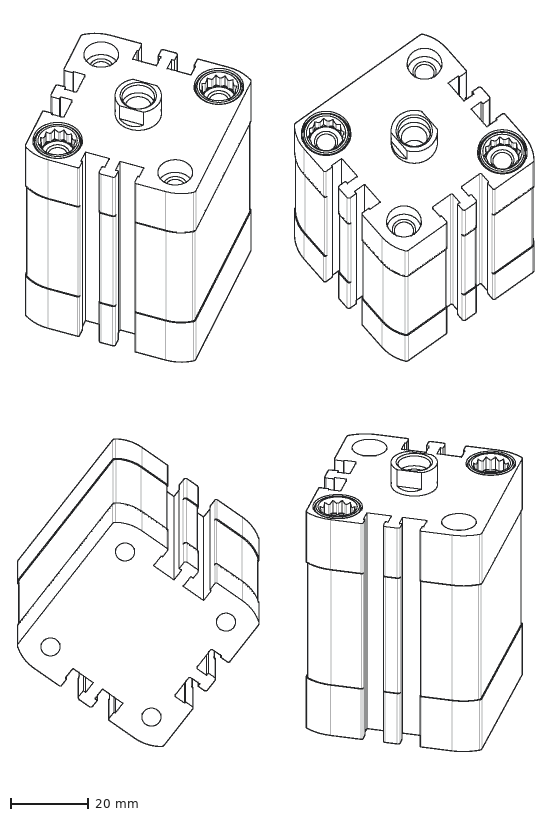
import cadquery as cq
import math


HEXAGON_SIDES = 6

width = 47.0
total_height = 70.6
rod_exposed = 6.7
housing_height = total_height - rod_exposed
cap_height = 14.9
tube_inset = 0.3
half_width = width / 2

bolt_offset = 16.25
corner_radius = 11.8
corner_blend = 1.0

slot_inner = 2.25
slot_outer = 7.6
slot_undercut_inner = 1.5
slot_undercut_outer = 8.05
slot_lip = 2.6
slot_depth = 5.9
slot_edge_radius = 0.4
rib_edge_radius = 0.65
side_slot_floor_radius = 0.4

bolt_hole_diameter = 4.95
bolt_hole_chamfer_diameter = 6.0
bolt_counterbore_diameter = 9.0
bolt_counterbore_depth = 4.8

screw_seat_diameter = 12.8
screw_diameter = 12.0
screw_groove_depth = 1.4
screw_chamfer = 0.35
socket_cone_diameter = 10.2
socket_diameter = 8.55
socket_point_diameter = 9.4
socket_hexagons = 2
socket_point_depth = 4.4
socket_cone_slope = 60.0

rod_diameter = 12.0
rod_embedded = cap_height
flat_width = 10.0
flat_height = 4.9
flat_floor_slope = 30.0
rod_mouth_diameter = 9.4
rod_counterbore_diameter = 8.4
rod_counterbore_depth = 3.4
rod_bore_diameter = 6.65
rod_bore_depth = 12.0
bore_step_slope = 30.0


def outline(inset):
    """Square with four large corner arcs, each blended into a side face."""
    half = half_width - inset
    radius = corner_radius - inset
    arc_y = half_width - corner_radius
    blend_x = half - corner_blend
    blend_y = arc_y + math.sqrt((radius - corner_blend) ** 2 - (blend_x - bolt_offset) ** 2)
    reach = radius / (radius - corner_blend)
    meet_x = bolt_offset + (blend_x - bolt_offset) * reach
    meet_y = arc_y + (blend_y - arc_y) * reach
    return (
        cq.Workplane("XY")
        .moveTo(0, half)
        .lineTo(bolt_offset, half)
        .radiusArc((meet_x, meet_y), radius)
        .radiusArc((half, blend_y), corner_blend)
        .lineTo(half, 0)
        .mirrorX()
        .mirrorY()
    )


def slot_cutter(face, height, floor_radius):
    """T-slot to the right of the middle of the +Y face at y = face."""
    edge = slot_edge_radius
    rib_edge = rib_edge_radius
    cutter = (
        cq.Workplane("XY")
        .moveTo(slot_inner - rib_edge, face)
        .radiusArc((slot_inner, face - rib_edge), rib_edge)
        .lineTo(slot_inner, half_width - slot_lip)
        .lineTo(slot_undercut_inner, half_width - slot_lip)
        .lineTo(slot_undercut_inner, half_width - slot_depth)
        .lineTo(slot_undercut_outer, half_width - slot_depth)
        .lineTo(slot_undercut_outer, half_width - slot_lip)
        .lineTo(slot_outer, half_width - slot_lip)
        .lineTo(slot_outer, face - edge)
        .radiusArc((slot_outer + edge, face), edge)
        .close()
        .extrude(height)
    )
    if floor_radius > 0:
        cutter = cutter.faces("<Y").edges("|Z").fillet(floor_radius)
    return cutter


def housing_section(inset, bottom, height):
    """One length of the housing, with slot pairs at the front, back and left."""
    section = outline(inset).extrude(height)
    for turn, floor_radius in ((0, 0), (180, 0), (90, side_slot_floor_radius)):
        slot = slot_cutter(half_width - inset, height, floor_radius)
        pair = slot.union(slot.mirror("YZ"))
        section = section.cut(pair.rotate((0, 0, 0), (0, 0, 1), turn))
    return section.translate((0, 0, bottom))


def turned(points):
    """Solid turned about the vertical axis from (radius, z) points."""
    return cq.Workplane("XZ").polyline(points).close().revolve(360, (0, 0, 0), (0, 1, 0))


def bolt_hole():
    """Through hole below the counterbore, chamfered at the counterbore floor."""
    floor = housing_height - bolt_counterbore_depth
    radius = bolt_hole_diameter / 2
    chamfer_radius = bolt_hole_chamfer_diameter / 2
    return turned([
        (0, 0),
        (radius, 0),
        (radius, floor - (chamfer_radius - radius)),
        (chamfer_radius, floor),
        (0, floor),
    ])


def counterbore():
    floor = housing_height - bolt_counterbore_depth
    return (
        cq.Workplane("XY", origin=(0, 0, floor))
        .circle(bolt_counterbore_diameter / 2)
        .extrude(bolt_counterbore_depth)
    )


def screw_cutter():
    """Everything cut from a screwed corner: groove around the screw, and splined socket."""
    floor = housing_height - bolt_counterbore_depth
    screw_top = housing_height
    screw_radius = screw_diameter / 2
    groove_floor = screw_top - screw_groove_depth
    seat_radius = screw_seat_diameter / 2
    cone_radius = socket_cone_diameter / 2
    socket_radius = socket_diameter / 2

    groove = turned([
        (screw_radius - screw_chamfer, screw_top),
        (screw_radius, screw_top - screw_chamfer),
        (screw_radius, groove_floor),
        (seat_radius, groove_floor),
        (seat_radius, screw_top),
    ])
    cone_depth = (cone_radius - socket_radius) * math.tan(math.radians(socket_cone_slope))
    cone = turned([
        (0, screw_top),
        (cone_radius, screw_top),
        (socket_radius, screw_top - cone_depth),
        (0, screw_top - cone_depth),
    ])
    socket = cq.Workplane("XY", origin=(0, 0, floor)).circle(socket_radius).extrude(screw_top - floor)
    hexagon = (
        cq.Workplane("XY", origin=(0, 0, screw_top))
        .polygon(HEXAGON_SIDES, socket_point_diameter)
        .extrude(-socket_point_depth)
    )
    turn = 360 / (HEXAGON_SIDES * socket_hexagons)
    for index in range(socket_hexagons):
        socket = socket.union(hexagon.rotate((0, 0, 0), (0, 0, 1), index * turn))
    return groove.union(cone).union(socket)


def make_housing():
    tube_height = housing_height - 2 * cap_height
    housing = (
        housing_section(0, 0, cap_height)
        .union(housing_section(tube_inset, cap_height, tube_height))
        .union(housing_section(0, cap_height + tube_height, cap_height))
    )
    for x_side, y_side, corner_cutter in (
        (-1, 1, counterbore()),
        (1, -1, counterbore()),
        (1, 1, screw_cutter()),
        (-1, -1, screw_cutter()),
    ):
        place = (x_side * bolt_offset, y_side * bolt_offset, 0)
        housing = housing.cut(corner_cutter.translate(place)).cut(bolt_hole().translate(place))
    rod_hole = (
        cq.Workplane("XY", origin=(0, 0, housing_height - rod_embedded))
        .circle(rod_diameter / 2)
        .extrude(rod_embedded)
    )
    return housing.cut(rod_hole)


def rod_bore():
    """Chamfered counterbore, tapered step and blind bore with a conical bottom."""
    mouth_radius = rod_mouth_diameter / 2
    counterbore_radius = rod_counterbore_diameter / 2
    bore_radius = rod_bore_diameter / 2
    slope = math.tan(math.radians(bore_step_slope))
    step_z = total_height - rod_counterbore_depth
    bore_end = total_height - rod_bore_depth
    return turned([
        (0, total_height),
        (mouth_radius, total_height),
        (counterbore_radius, total_height - (mouth_radius - counterbore_radius)),
        (counterbore_radius, step_z),
        (bore_radius, step_z - (counterbore_radius - bore_radius) * slope),
        (bore_radius, bore_end),
        (0, bore_end - bore_radius * slope),
    ])


def wrench_flat():
    """Cut for the flat on the +Y side; its floor slopes down and outwards."""
    flat_y = flat_width / 2
    outer_y = rod_diameter
    floor = total_height - flat_height
    drop = (outer_y - flat_y) * math.tan(math.radians(flat_floor_slope))
    return (
        cq.Workplane("YZ")
        .polyline([
            (flat_y, total_height),
            (flat_y, floor),
            (outer_y, floor - drop),
            (outer_y, total_height),
        ])
        .close()
        .extrude(rod_diameter, both=True)
    )


def make_rod():
    flat = wrench_flat()
    return (
        cq.Workplane("XY", origin=(0, 0, housing_height - rod_embedded))
        .circle(rod_diameter / 2)
        .extrude(rod_embedded + rod_exposed)
        .cut(flat)
        .cut(flat.mirror("XZ"))
        .cut(rod_bore())
    )


housing = make_housing()
rod = make_rod()
result = cq.Compound.makeCompound([housing.val(), rod.val()])